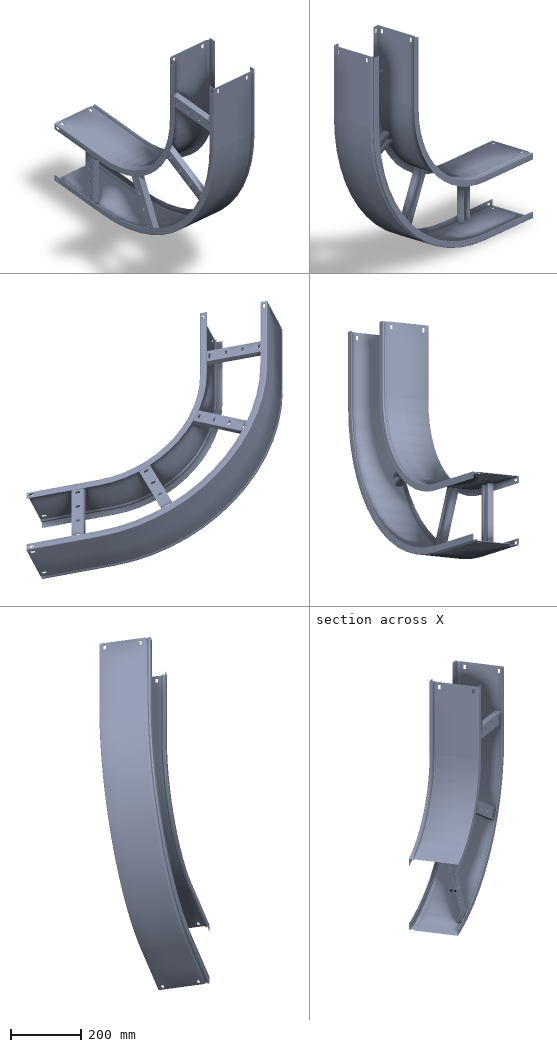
import cadquery as cq
import math

LENGTH = 717.0
DEPTH = 150.0
TRAY_WIDTH = 200.0
STRAIGHT = 216.5
SHEET = 1.5

OUTER_RADIUS = LENGTH - STRAIGHT
INNER_RADIUS = OUTER_RADIUS - TRAY_WIDTH
BEND_X = STRAIGHT
BEND_Z = OUTER_RADIUS
TOWARD_BEND = 1
AWAY_FROM_BEND = -1

FLANGE = 20.0
BEND_RADIUS = 2.0
BEAD_FROM_BACK = 5.0
BEAD_WIDTH = 10.0
BEAD_DEPTH = 3.95

SLOT_LENGTH = 13.0
SLOT_WIDTH = 7.0
SLOT_FROM_END = 15.0
WEB_SLOT_FROM_FRONT = 16.0
WEB_SLOT_FROM_BACK = 29.5
FLANGE_SLOT_FROM_WEB = 9.0

RUNG_WIDTH = 36.0
RUNG_HEIGHT = 19.0
RUNG_FROM_FRONT = 7.0
RUNG_LIP = 9.0
RUNG_FROM_END = 150.0
RUNG_ANGLE = 25.0
RUNG_SLOT_LENGTH = 15.0
RUNG_SLOT_WIDTH = 6.5
RUNG_SLOT_PITCH = 49.5
RUNG_SLOTS = 4


def rail_section(web_z, inward):
    """Closed outline in Y and Z; `inward` is the Z direction of the flanges."""
    back_start = DEPTH - BEAD_FROM_BACK
    front_start = back_start - BEAD_WIDTH
    bend_shift = SHEET * math.tan(math.radians(22.5))
    bend_middle = BEND_RADIUS * (1 - math.sqrt(0.5))

    def at(y, height):
        return (y, web_z + inward * height)

    return (
        cq.Workplane("YZ")
        .moveTo(*at(0, FLANGE))
        .lineTo(*at(0, BEND_RADIUS))
        .threePointArc(at(bend_middle, bend_middle), at(BEND_RADIUS, 0))
        .lineTo(*at(front_start, 0))
        .lineTo(*at(front_start + BEAD_DEPTH, BEAD_DEPTH))
        .lineTo(*at(back_start - BEAD_DEPTH, BEAD_DEPTH))
        .lineTo(*at(back_start, 0))
        .lineTo(*at(DEPTH - BEND_RADIUS, 0))
        .threePointArc(at(DEPTH - bend_middle, bend_middle), at(DEPTH, BEND_RADIUS))
        .lineTo(*at(DEPTH, FLANGE))
        .lineTo(*at(DEPTH - SHEET, FLANGE))
        .lineTo(*at(DEPTH - SHEET, SHEET))
        .lineTo(*at(back_start + bend_shift, SHEET))
        .lineTo(*at(back_start - BEAD_DEPTH + bend_shift, BEAD_DEPTH + SHEET))
        .lineTo(*at(front_start + BEAD_DEPTH - bend_shift, BEAD_DEPTH + SHEET))
        .lineTo(*at(front_start - bend_shift, SHEET))
        .lineTo(*at(SHEET, SHEET))
        .lineTo(*at(SHEET, FLANGE))
        .close()
    )


def swap_runs(shape):
    """Mirror the tray onto itself: the X run becomes the Z run."""
    return shape.rotate((0, 0, 0), (0, 1, 0), -90).mirror("XY").translate((LENGTH, 0, LENGTH))


def rail_end_slots(web_z, inward):
    """Cutters for the slots at the X end of a rail: two through the web, one through the front flange."""
    web_slots = (
        cq.Workplane("XY", origin=(SLOT_FROM_END, 0, web_z))
        .pushPoints([(0, WEB_SLOT_FROM_FRONT), (0, DEPTH - WEB_SLOT_FROM_BACK)])
        .rect(SLOT_LENGTH, SLOT_WIDTH)
        .extrude(SHEET, both=True)
    )
    flange_slot = (
        cq.Workplane("XZ", origin=(SLOT_FROM_END, 0, web_z + inward * FLANGE_SLOT_FROM_WEB))
        .rect(SLOT_LENGTH, SLOT_WIDTH)
        .extrude(SHEET, both=True)
    )
    return web_slots.add(flange_slot)


def rail(radius, inward):
    """One side rail: straight, quarter bend, straight; `radius` is that of its web's outer face."""
    web_z = BEND_Z - radius
    half_turn = radius * math.sqrt(0.5)
    path = (
        cq.Workplane("XZ")
        .moveTo(0, web_z)
        .lineTo(BEND_X, web_z)
        .threePointArc((BEND_X + half_turn, BEND_Z - half_turn), (BEND_X + radius, BEND_Z))
        .lineTo(BEND_X + radius, LENGTH)
    )
    body = rail_section(web_z, inward).sweep(path, clean=False)
    for cutter in rail_end_slots(web_z, inward).vals():
        body = body.cut(cq.Workplane(cutter), clean=False)
        body = body.cut(cq.Workplane(swap_runs(cutter)), clean=False)
    return body


def rung_section():
    """Closed outline in X and Y of a lipped channel, centred on X = 0."""
    half = RUNG_WIDTH / 2
    front = RUNG_FROM_FRONT
    back = RUNG_FROM_FRONT + RUNG_HEIGHT
    lip_end = half - RUNG_LIP
    right_side = [
        (half, front),
        (half, back),
        (lip_end, back),
        (lip_end, back - SHEET),
        (half - SHEET, back - SHEET),
        (half - SHEET, front + SHEET),
    ]
    left_side = [(-x, y) for x, y in reversed(right_side)]
    return right_side + left_side


def rung(bottom, top):
    """A rung standing along Z at X = 0, from Z = `bottom` to Z = `top`, slotted about the tray's middle."""
    body = cq.Workplane("XY", origin=(0, 0, bottom)).polyline(rung_section()).close().extrude(top - bottom)
    slots = (
        cq.Workplane("XZ", origin=(0, RUNG_FROM_FRONT, TRAY_WIDTH / 2))
        .rarray(7, RUNG_SLOT_PITCH, 1, RUNG_SLOTS)
        .slot2D(RUNG_SLOT_LENGTH, RUNG_SLOT_WIDTH)
        .extrude(SHEET, both=True)
    )
    return body.cut(slots)


def straight_rung():
    """The rung across the X run, butting on the webs of both rails."""
    return rung(SHEET, TRAY_WIDTH - SHEET).translate((RUNG_FROM_END, 0, 0)).val()


def bend_rung(angle):
    """A rung across the bend, its ends shaped to the curved webs."""
    space_between_webs = (
        cq.Workplane("XZ", origin=(BEND_X, 0, BEND_Z))
        .circle(OUTER_RADIUS - SHEET)
        .circle(INNER_RADIUS + SHEET)
        .extrude(-DEPTH)
    )
    axis_start = (BEND_X, 0, BEND_Z)
    axis_end = (BEND_X, -1, BEND_Z)
    blank = rung(0, TRAY_WIDTH + RUNG_WIDTH).translate((BEND_X, 0, 0))
    return blank.rotate(axis_start, axis_end, angle).intersect(space_between_webs).val()


outer_rail = rail(OUTER_RADIUS, TOWARD_BEND)
inner_rail = rail(INNER_RADIUS, AWAY_FROM_BEND)
straight_rungs = [straight_rung(), swap_runs(straight_rung())]
bend_rungs = [bend_rung(angle) for angle in (RUNG_ANGLE, 90 - RUNG_ANGLE)]

result = cq.Compound.makeCompound([outer_rail.val(), inner_rail.val(), *straight_rungs, *bend_rungs])